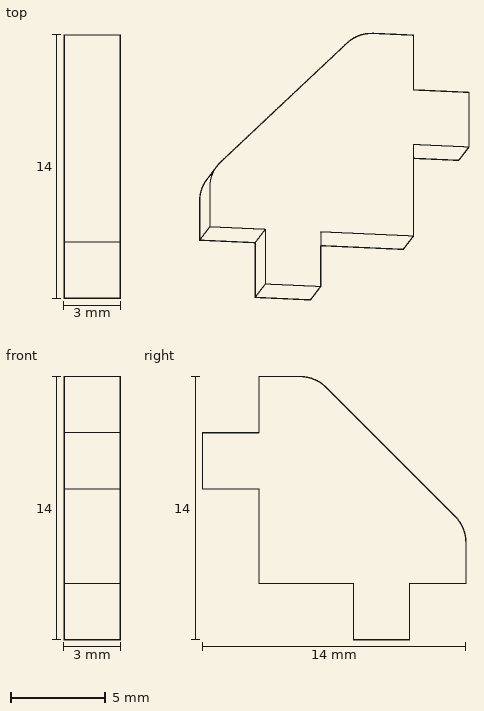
import cadquery as cq

overall = 14.0
thickness = 3.0
tab = 3.0
corner_radius = 2.0

body = overall - tab
end_land = tab
tab_offset = tab
tab_center = body - tab_offset - tab / 2


def make_body():
    """Square plate with one corner cut at 45 degrees and both slope ends rounded."""
    outline = [
        (0, 0),
        (body, 0),
        (body, end_land),
        (end_land, body),
        (0, body),
    ]
    plate = cq.Workplane("YZ").polyline(outline).close().extrude(thickness / 2, both=True)
    return plate.faces(">(0, 1, 1)").edges("|X").fillet(corner_radius)


def make_tab(center_y, center_z):
    """Square tab of full plate thickness."""
    return cq.Workplane("XY").box(thickness, tab, tab).translate((0, center_y, center_z))


side_tab = make_tab(-tab / 2, tab_center)
bottom_tab = make_tab(tab_center, -tab / 2)
result = make_body().union(side_tab).union(bottom_tab)